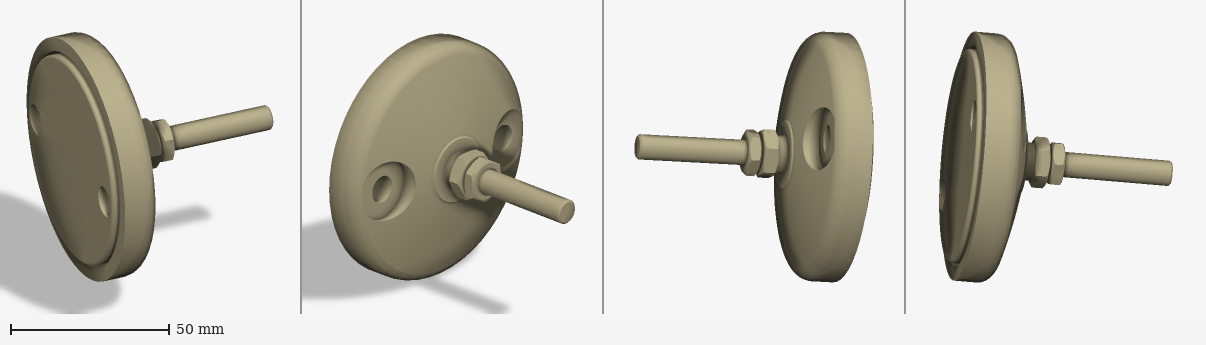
import cadquery as cq
import math


pad_radius = 34.0
pad_thickness = 8.0
pad_edge_radius = 1.0

housing_radius = 39.5
housing_bottom = 2.0
pad_clearance = 1.0
recess_radius = pad_radius + pad_clearance
rim_top = 9.1
rim_fillet = 5.0
crest_height = 13.7
crest_rise = crest_height - rim_top
fillet_center_radius = housing_radius - rim_fillet
crest_radius = fillet_center_radius + math.sqrt(rim_fillet**2 - crest_rise**2)
hub_top = 20.7
hub_radius = 10.6
hub_chamfer = 0.5
dome_bulge = 0.4

bolt_offset = 27.5
bolt_mouth_radius = 5.0
bolt_throat_radius = 4.5
bolt_recess_radius = 10.0
bolt_floor = crest_height

spindle_length = 47.7
spindle_top = hub_top + spindle_length
stem_radius = 4.0
stem_chamfer = 0.6
neck_radius = 3.5
neck_fillet = stem_radius - neck_radius
collar_radius = 6.0
collar_fillet = 0.6
spindle_hex_bottom = 23.8
spindle_hex_height = 4.7
spindle_hex_top = spindle_hex_bottom + spindle_hex_height
spindle_hex_flats = 14.0
spindle_hex_face_radius = 7.0

nut_gap = 0.8
nut_bottom = spindle_hex_top + nut_gap
nut_height = 4.1
nut_flats = 13.0
nut_face_radius = 6.1

hex_chamfer_angle = math.radians(30)
cos_45 = math.sqrt(0.5)


def turned(profile):
    """Revolve a closed half profile about the Y axis."""
    return profile.close().revolve(360, (0, 0), (0, 1))


def disc(radius, bottom, height):
    """Cylinder along the Y axis."""
    return turned(cq.Workplane("XY").moveTo(0, bottom).hLine(radius).vLine(height).hLine(-radius))


def hexagon(flats, bottom, height, face_radius, turn):
    """Hexagonal prism along Y with both ends chamfered down to face_radius."""
    corner_radius = flats / math.sqrt(3)
    drop = (corner_radius - face_radius) * math.tan(hex_chamfer_angle)
    prism = (
        cq.Workplane("XZ", origin=(0, bottom, 0))
        .polygon(6, 2 * corner_radius)
        .extrude(-height)
        .rotate((0, 0, 0), (0, 1, 0), turn)
    )
    envelope = turned(
        cq.Workplane("XY")
        .moveTo(0, bottom)
        .lineTo(face_radius, bottom)
        .lineTo(corner_radius, bottom + drop)
        .lineTo(corner_radius, bottom + height - drop)
        .lineTo(face_radius, bottom + height)
        .lineTo(0, bottom + height)
    )
    return prism.intersect(envelope)


def bolt_holes():
    """Tapered hole cutters, narrowing from the underside to the recess floor."""
    hole = turned(
        cq.Workplane("XY")
        .lineTo(bolt_mouth_radius, 0)
        .lineTo(bolt_throat_radius, bolt_floor)
        .lineTo(0, bolt_floor)
    )
    return [hole.translate((side * bolt_offset, 0, 0)) for side in (-1, 1)]


def make_pad():
    pad = disc(pad_radius, 0, pad_thickness).faces("<Y").edges().fillet(pad_edge_radius)
    for hole in bolt_holes():
        pad = pad.cut(hole)
    return pad


def make_housing():
    dome_start = (hub_radius + hub_chamfer, hub_top - hub_chamfer)
    dome_run = crest_radius - dome_start[0]
    dome_fall = dome_start[1] - crest_height
    dome_chord = math.hypot(dome_run, dome_fall)
    dome_middle = (
        dome_start[0] + dome_run / 2 + dome_bulge * dome_fall / dome_chord,
        dome_start[1] - dome_fall / 2 + dome_bulge * dome_run / dome_chord,
    )
    fillet_middle = (
        fillet_center_radius + rim_fillet * cos_45,
        rim_top + rim_fillet * cos_45,
    )
    housing = turned(
        cq.Workplane("XY")
        .moveTo(0, pad_thickness)
        .lineTo(recess_radius, pad_thickness)
        .lineTo(recess_radius, housing_bottom)
        .lineTo(housing_radius, housing_bottom)
        .lineTo(housing_radius, rim_top)
        .threePointArc(fillet_middle, (crest_radius, crest_height))
        .threePointArc(dome_middle, dome_start)
        .lineTo(hub_radius, hub_top)
        .lineTo(0, hub_top)
    )
    bolt_recess = disc(bolt_recess_radius, bolt_floor, hub_top - bolt_floor)
    for side in (-1, 1):
        housing = housing.cut(bolt_recess.translate((side * bolt_offset, 0, 0)))
    for hole in bolt_holes():
        housing = housing.cut(hole)
    return housing


def make_spindle():
    """Flared collar, hexagon, undercut neck and plain stem, resting on the hub."""
    collar_corner = (collar_radius + collar_fillet, hub_top + collar_fillet)
    neck_corner = (neck_radius + neck_fillet, spindle_hex_top + neck_fillet)
    shaft = turned(
        cq.Workplane("XY")
        .moveTo(0, hub_top)
        .lineTo(collar_corner[0], hub_top)
        .threePointArc(
            (collar_corner[0] - collar_fillet * cos_45, collar_corner[1] - collar_fillet * cos_45),
            (collar_radius, collar_corner[1]),
        )
        .lineTo(collar_radius, spindle_hex_top)
        .lineTo(neck_corner[0], spindle_hex_top)
        .threePointArc(
            (neck_corner[0] - neck_fillet * cos_45, neck_corner[1] - neck_fillet * cos_45),
            (neck_radius, neck_corner[1]),
        )
        .lineTo(neck_radius, nut_bottom)
        .lineTo(stem_radius, nut_bottom)
        .lineTo(stem_radius, spindle_top - stem_chamfer)
        .lineTo(stem_radius - stem_chamfer, spindle_top)
        .lineTo(0, spindle_top)
    )
    wrench_hex = hexagon(
        spindle_hex_flats, spindle_hex_bottom, spindle_hex_height, spindle_hex_face_radius, turn=0
    )
    return shaft.union(wrench_hex)


def make_lock_nut():
    """Thin hexagon nut on the stem, turned so that its corners point along Z."""
    nut = hexagon(nut_flats, nut_bottom, nut_height, nut_face_radius, turn=30)
    return nut.cut(disc(stem_radius, nut_bottom, nut_height))


pad = make_pad()
housing = make_housing()
spindle = make_spindle()
lock_nut = make_lock_nut()

result = cq.Compound.makeCompound([pad.val(), housing.val(), spindle.val(), lock_nut.val()])